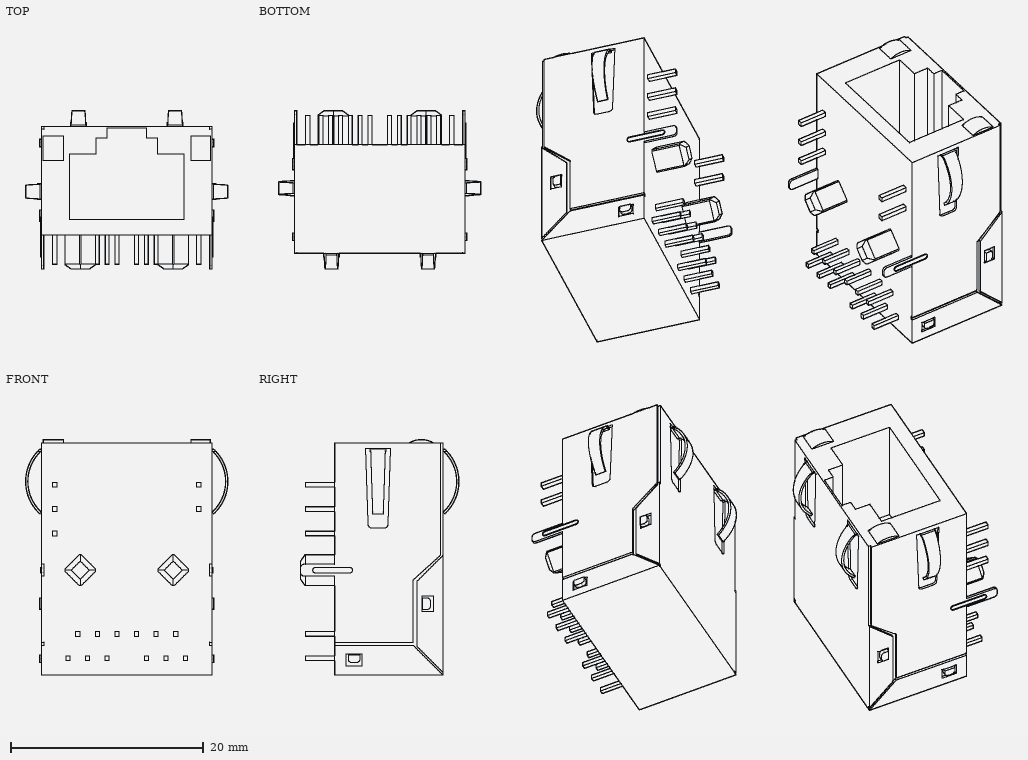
import cadquery as cq
import math


BODY_WIDTH = 17.77
BODY_DEPTH = 11.30
BODY_HEIGHT = 24.20
HALF_WIDTH = BODY_WIDTH / 2
SHEET = 0.25
ROOT = 0.5

SOCKET_LENGTH = 13.0
SOCKET_FLOOR_Y = 1.63
SOCKET_STEPS = [(5.95, 8.44), (3.19, 10.10), (2.05, 11.12)]

SEAM_STRIP = 0.27
SEAM_TOP_Z = 12.5
SEAM_INNER = 2.74
SEAM_OUTER = 3.14
SEAM_BEND_Z = 9.9
SEAM_LOW_Z = 3.12
SEAM_HIGH_Z = 3.43
SLIT_RISE = 0.28

SPRING_REACH = 1.655
SPRING_TOP_Z = 23.55
SPRING_END_Z = 16.80
SPRING_FOOT = 0.17
SPRING_ROOT_WIDTH = 1.64
SPRING_SHOULDER_Z = 23.32
SPRING_TOP_WIDTH = 1.52
SPRING_END_WIDTH = 1.10
SIDE_SPRING_Y = 4.52
BACK_SPRING_X = 5.03

WINDOW_TOP_Z = 23.62
WINDOW_BOTTOM_Z = 15.32
WINDOW_TOP_WIDTH = 2.60
WINDOW_BOTTOM_WIDTH = 2.05
WINDOW_RADIUS = 0.4

DOME_HEIGHT = 0.35
DOME_BACK_Y = BODY_DEPTH - 1.0
DOME_FRONT_Y = BODY_DEPTH - 3.54
DOME_OUTER_X = 8.71
LEFT_DOME_WIDTH = 2.13
RIGHT_DOME_WIDTH = 2.03

LATCH_PROUD = 0.2
LATCH_LENGTH = 1.2
LATCH_WIDTH = 0.81
LATCH_RADIUS = 0.35
LATCH_WINDOW_LENGTH = 1.64
LATCH_WINDOW_WIDTH = 1.22
LATCH_EDGE_GAP = 0.07
BACK_LATCH_FLAT_Y = BODY_DEPTH - 2.13
BACK_LATCH_Z = 7.45
LOW_LATCH_Y = 2.03
LOW_LATCH_FLAT_Z = 2.13

MOUNT_Z = 10.94
PEG_X = 4.84
PEG_SIDE = 2.42
PEG_DIAGONAL = 3.22
PEG_LENGTH = 3.555
PEG_CHAMFER = 0.54
TONGUE_WIDTH = 1.25
TONGUE_RADIUS = 0.4
BEAD_PROUD = 0.1
BEAD_WIDTH = 0.6
BEAD_START_Y = 1.86
BEAD_END_Y = -2.28

PIN_LENGTH = 3.05
PIN_HEIGHT = 0.51
LED_PIN_WIDTH = 0.51
SIGNAL_PIN_WIDTH = 0.43
LED_PIN_X = 7.5
ROW_PITCH = 2.54
LED_PIN_TOP_Z = 19.84
SIGNAL_PITCH = 2.04
SIGNAL_ROW_Z = 4.31


def box(x_range, y_range, z_range):
    """Box between two limits on each axis."""
    spans = [high - low for low, high in (x_range, y_range, z_range)]
    return cq.Workplane("XY").box(*spans, centered=False).translate(
        (x_range[0], y_range[0], z_range[0])
    )


def side_profile(start_x):
    """Sketch plane parallel to YZ; its local axes are Y and Z."""
    return cq.Workplane("YZ", origin=(start_x, 0, 0))


def on_both_sides(solid):
    """A feature of the +X side together with its mirror image."""
    return solid.union(solid.mirror("YZ"))


def make_socket():
    """Stepped plug opening cut down from the top face."""
    bottom_z = BODY_HEIGHT - SOCKET_LENGTH
    socket = cq.Workplane("XY")
    for half_width, top_y in SOCKET_STEPS:
        step = box((-half_width, half_width), (SOCKET_FLOOR_Y, top_y), (bottom_z, BODY_HEIGHT))
        socket = socket.union(step)
    return socket


def make_seam():
    """Groove between the side sheet and the folded panels around it."""
    outline = [
        (0, BODY_HEIGHT),
        (SEAM_STRIP, BODY_HEIGHT),
        (SEAM_STRIP, SEAM_TOP_Z),
        (SEAM_OUTER, SEAM_BEND_Z),
        (SEAM_OUTER, SEAM_HIGH_Z),
        (BODY_DEPTH, SEAM_HIGH_Z),
        (BODY_DEPTH, SEAM_LOW_Z),
        (SEAM_LOW_Z, SEAM_LOW_Z),
        (0, 0),
        (0, SLIT_RISE),
        (SEAM_INNER, SEAM_INNER + SLIT_RISE),
        (SEAM_INNER, SEAM_TOP_Z - SEAM_INNER),
        (0, SEAM_TOP_Z),
    ]
    points = [(BODY_DEPTH - from_back, z) for from_back, z in outline]
    return side_profile(HALF_WIDTH - SHEET).polyline(points).close().extrude(SHEET)


def taper(top_width, bottom_width, top_z, bottom_z, start_x, thickness):
    """Symmetric trapezoid in YZ, extruded along X."""
    points = [
        (-top_width / 2, top_z),
        (top_width / 2, top_z),
        (bottom_width / 2, bottom_z),
        (-bottom_width / 2, bottom_z),
    ]
    return side_profile(start_x).polyline(points).close().extrude(thickness)


def make_spring_window():
    """Tapered window with rounded lower corners, below the plane X = 0."""
    window = taper(
        WINDOW_TOP_WIDTH, WINDOW_BOTTOM_WIDTH, WINDOW_TOP_Z, WINDOW_BOTTOM_Z, -SHEET, SHEET
    )
    return window.edges("|X").edges("<Z").fillet(WINDOW_RADIUS)


def make_spring():
    """Bowed strip rising from the plane X = 0: a wider root, then a blade narrowing to its free end."""
    half_chord = (SPRING_TOP_Z - SPRING_END_Z) / 2
    middle_z = (SPRING_TOP_Z + SPRING_END_Z) / 2
    rise = SPRING_REACH - SPRING_FOOT
    outer_radius = (half_chord**2 + rise**2) / (2 * rise)
    inner_radius = outer_radius - SHEET
    center_x = SPRING_REACH - outer_radius
    half_angle = math.asin(half_chord / outer_radius)
    inner_x = center_x + inner_radius * math.cos(half_angle)
    inner_drop = inner_radius * math.sin(half_angle)
    strip = (
        cq.Workplane("XZ")
        .moveTo(-ROOT, SPRING_TOP_Z)
        .lineTo(SPRING_FOOT, SPRING_TOP_Z)
        .threePointArc((SPRING_REACH, middle_z), (SPRING_FOOT, SPRING_END_Z))
        .lineTo(inner_x, middle_z - inner_drop)
        .threePointArc((SPRING_REACH - SHEET, middle_z), (inner_x, middle_z + inner_drop))
        .lineTo(-ROOT, middle_z + inner_drop)
        .close()
        .extrude(SPRING_ROOT_WIDTH / 2, both=True)
    )
    root_limits = box(
        (-ROOT, SPRING_REACH),
        (-SPRING_ROOT_WIDTH / 2, SPRING_ROOT_WIDTH / 2),
        (SPRING_SHOULDER_Z, SPRING_TOP_Z),
    )
    blade_limits = taper(
        SPRING_TOP_WIDTH,
        SPRING_END_WIDTH,
        SPRING_SHOULDER_Z,
        SPRING_END_Z,
        -ROOT,
        ROOT + SPRING_REACH,
    )
    return strip.intersect(root_limits.union(blade_limits))


def place_springs(solid):
    """Copies of a spring feature on both sides and twice on the back face."""
    placed = on_both_sides(solid.translate((HALF_WIDTH, SIDE_SPRING_Y, 0)))
    turned = solid.rotate((0, 0, 0), (0, 0, 1), 90)
    return placed.union(on_both_sides(turned.translate((BACK_SPRING_X, BODY_DEPTH, 0))))


def make_dome(start_x, width):
    """Low cylindrical light window on the top face."""
    middle_y = (DOME_BACK_Y + DOME_FRONT_Y) / 2
    return (
        side_profile(start_x)
        .moveTo(DOME_FRONT_Y, BODY_HEIGHT - ROOT)
        .lineTo(DOME_FRONT_Y, BODY_HEIGHT)
        .threePointArc((middle_y, BODY_HEIGHT + DOME_HEIGHT), (DOME_BACK_Y, BODY_HEIGHT))
        .lineTo(DOME_BACK_Y, BODY_HEIGHT - ROOT)
        .close()
        .extrude(width)
    )


def make_latch_window():
    """Latch window in a frame where the tab's flat edge lies on Z = 0."""
    return box(
        (HALF_WIDTH - SHEET, HALF_WIDTH),
        (-LATCH_WINDOW_LENGTH / 2, LATCH_WINDOW_LENGTH / 2),
        (LATCH_EDGE_GAP - LATCH_WINDOW_WIDTH, LATCH_EDGE_GAP),
    )


def make_latch_tab():
    """Latch tab with a flat edge on Z = 0 and two rounded corners below."""
    tab = box(
        (HALF_WIDTH - ROOT, HALF_WIDTH + LATCH_PROUD),
        (-LATCH_LENGTH / 2, LATCH_LENGTH / 2),
        (-LATCH_WIDTH, 0),
    )
    return tab.edges("|X").edges("<Z").fillet(LATCH_RADIUS)


def place_latches(solid):
    """Latch feature near the closed end and, turned flat edge forward, near the back."""
    low = solid.translate((0, LOW_LATCH_Y, LOW_LATCH_FLAT_Z))
    turned = solid.rotate((0, 0, 0), (1, 0, 0), 90)
    back = turned.translate((0, BACK_LATCH_FLAT_Y, BACK_LATCH_Z))
    return on_both_sides(low.union(back))


def make_pegs():
    """Square pegs set on edge, with chamfered tips and blunted corners."""
    length = PEG_LENGTH + ROOT
    peg = (
        cq.Workplane("XZ")
        .rect(PEG_SIDE, PEG_SIDE)
        .extrude(length)
        .faces("<Y")
        .chamfer(PEG_CHAMFER)
        .rotate((0, 0, 0), (0, 1, 0), 45)
    )
    blunting = cq.Workplane("XZ").rect(PEG_DIAGONAL, PEG_DIAGONAL).extrude(length)
    return on_both_sides(peg.intersect(blunting).translate((PEG_X, ROOT, MOUNT_Z)))


def make_tongues():
    """Ground tongues in the plane of the side sheets, each with a bead."""
    tongue = box(
        (HALF_WIDTH - SHEET, HALF_WIDTH),
        (-PEG_LENGTH, ROOT),
        (MOUNT_Z - TONGUE_WIDTH / 2, MOUNT_Z + TONGUE_WIDTH / 2),
    )
    tongue = tongue.edges("|X").edges("<Y").fillet(TONGUE_RADIUS)
    bead = (
        side_profile(HALF_WIDTH - SHEET)
        .center((BEAD_START_Y + BEAD_END_Y) / 2, MOUNT_Z)
        .slot2D(BEAD_START_Y - BEAD_END_Y, BEAD_WIDTH)
        .extrude(SHEET + BEAD_PROUD)
    )
    return on_both_sides(tongue.union(bead))


def make_pins(width, positions):
    """Straight rectangular pins on the board face at the given X, Z positions."""
    return (
        cq.Workplane("XZ", origin=(0, ROOT, 0))
        .pushPoints(positions)
        .rect(width, PIN_HEIGHT)
        .extrude(PIN_LENGTH + ROOT)
    )


def led_pin_positions():
    """Three pins on the left and two on the right."""
    positions = []
    for x, count in ((-LED_PIN_X, 3), (LED_PIN_X, 2)):
        for row in range(count):
            positions.append((x, LED_PIN_TOP_Z - row * ROW_PITCH))
    return positions


def signal_pin_positions():
    """Two staggered rows of six; the lower one leaves out its middle position."""
    positions = []
    for side in (-1, 1):
        for step in range(3):
            positions.append((side * (step + 0.5) * SIGNAL_PITCH, SIGNAL_ROW_Z))
            positions.append((side * (step + 1) * SIGNAL_PITCH, SIGNAL_ROW_Z - ROW_PITCH))
    return positions


result = box((-HALF_WIDTH, HALF_WIDTH), (0, BODY_DEPTH), (0, BODY_HEIGHT))
result = result.cut(make_socket())
result = result.cut(on_both_sides(make_seam()))
result = result.cut(place_springs(make_spring_window()))
result = result.cut(place_latches(make_latch_window()))

result = result.union(place_springs(make_spring()))
result = result.union(place_latches(make_latch_tab()))
result = result.union(make_dome(-DOME_OUTER_X, LEFT_DOME_WIDTH))
result = result.union(make_dome(DOME_OUTER_X - RIGHT_DOME_WIDTH, RIGHT_DOME_WIDTH))
result = result.union(make_pegs())
result = result.union(make_tongues())
result = result.union(make_pins(LED_PIN_WIDTH, led_pin_positions()))
result = result.union(make_pins(SIGNAL_PIN_WIDTH, signal_pin_positions()))